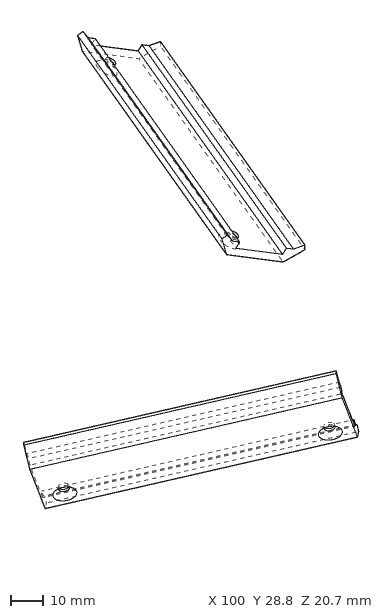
import cadquery as cq
import math

LENGTH = 100.0
WEB_TILT = 31.5
WEB_THICKNESS = 2.9
OUTER_HALF_WIDTH = 11.5
TIP_HALF_WIDTH = 16.9
TIP_HEIGHT = 5.7
TIP_THICKNESS = 2.1
CHANNEL_HALF_WIDTH = 9.5
LIP_HEIGHT = 2.5
FLANGE_FACE_LENGTH = 4.0

HOLE_DIAMETER = 3.4
COUNTERSINK_DIAMETER = 7.5
COUNTERSINK_ANGLE = 90.0
HOLE_END_DISTANCE = 7.5
HOLE_OFFSET = 6.0


def half_section():
    """Points (across, height) from the outer corner inward to the channel floor."""
    tilt = math.radians(WEB_TILT)
    tip_inner_across = TIP_HALF_WIDTH - TIP_THICKNESS * math.sin(tilt)
    tip_inner_height = TIP_HEIGHT + TIP_THICKNESS * math.cos(tilt)
    face_end_across = tip_inner_across - FLANGE_FACE_LENGTH * math.cos(tilt)
    lip_top = WEB_THICKNESS + LIP_HEIGHT
    return [
        (OUTER_HALF_WIDTH, 0),
        (TIP_HALF_WIDTH, TIP_HEIGHT),
        (tip_inner_across, tip_inner_height),
        (face_end_across, lip_top),
        (CHANNEL_HALF_WIDTH, lip_top),
        (CHANNEL_HALF_WIDTH, WEB_THICKNESS),
    ]


def make_rail():
    """Extrude the symmetric section along X, with the web lying flat."""
    right_half = half_section()
    left_half = [(-across, height) for across, height in reversed(right_half)]
    section = cq.Workplane("YZ").polyline(right_half + left_half).close()
    return section.extrude(LENGTH / 2, both=True)


def drill_holes(rail):
    """Cut a screw hole near each end, countersunk from the web underside."""
    hole_x = LENGTH / 2 - HOLE_END_DISTANCE
    centers = [(-hole_x, HOLE_OFFSET), (hole_x, HOLE_OFFSET)]
    underside = cq.Workplane("XY").transformed(rotate=(180, 0, 0))
    return underside.add(rail).pushPoints(centers).cskHole(
        HOLE_DIAMETER, COUNTERSINK_DIAMETER, COUNTERSINK_ANGLE
    )


flat_rail = drill_holes(make_rail())
result = flat_rail.rotate((0, 0, 0), (1, 0, 0), -WEB_TILT)